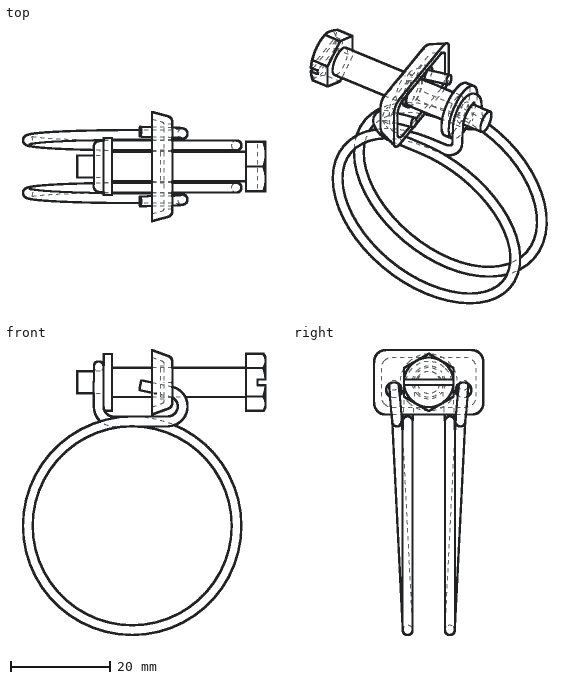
import cadquery as cq
import math


wire_diameter = 2.0
ring_radius = 21.0
inner_strand_y = 4.25
outer_strand_y = 6.35

bolt_axis_z = 28.85
bolt_tip_x = -11.05
bolt_end_x = 26.85
tip_diameter = 4.5
shaft_diameter = 5.95
collar_diameter = 11.45
collar_face_x = -5.75
collar_thickness = 1.7
head_across_flats = 10.0
head_length = 3.95
head_chamfer_angle = 30
slot_width = 1.1
slot_depth = 1.6

plate_x = 3.95
plate_depth = 4.15
plate_width = 22.0
plate_height = 13.0
plate_end_draft = 15
plate_side_draft = 20
plate_corner_radius = 2.5
plate_back_fillet = 1.25
plate_rim = 1.5
plate_floor = 1.65
pocket_corner_radius = 2.3
pocket_floor_fillet = 0.65
boss_diameter = 6.65
boss_height = 0.75
wire_hole_diameter = 3.1
wire_hole_y = 7.0
wire_hole_drop = 1.55

leg_bend_radius = 3.0
leg_tilt = 4
hook_start_x = 7.1
hook_bend_radius = 3.05
hook_tilt = 5
tail_rise = 12
tail_length = 6.25


def x_cylinder(diameter, start_x, end_x):
    """Cylinder on the bolt axis between two X positions."""
    return (
        cq.Workplane("YZ", origin=(start_x, 0, bolt_axis_z))
        .circle(diameter / 2)
        .extrude(end_x - start_x)
    )


def make_bolt_head():
    """Hexagon with a corner at the top, chamfered and slotted on its outer face."""
    head_x = bolt_end_x - head_length
    flat_radius = head_across_flats / 2
    corner_radius = flat_radius / math.cos(math.radians(30))
    chamfer_length = (corner_radius - flat_radius) * math.tan(math.radians(head_chamfer_angle))
    hexagon = (
        cq.Workplane("YZ", origin=(head_x, 0, bolt_axis_z))
        .transformed(rotate=(0, 0, 90))
        .polygon(6, 2 * corner_radius)
        .extrude(head_length)
    )
    turned_blank = (
        cq.Workplane("XZ", origin=(0, 0, bolt_axis_z))
        .moveTo(head_x, 0)
        .lineTo(head_x, corner_radius)
        .lineTo(bolt_end_x - chamfer_length, corner_radius)
        .lineTo(bolt_end_x, flat_radius)
        .lineTo(bolt_end_x, 0)
        .close()
        .revolve(360, (0, 0, 0), (1, 0, 0))
    )
    slot = cq.Workplane("XY").box(2 * slot_depth, 2 * corner_radius, slot_width)
    return hexagon.intersect(turned_blank).cut(slot.translate((bolt_end_x, 0, bolt_axis_z)))


def make_bolt():
    tip = x_cylinder(tip_diameter, bolt_tip_x, collar_face_x)
    collar = x_cylinder(collar_diameter, collar_face_x, collar_face_x + collar_thickness)
    shaft = x_cylinder(shaft_diameter, collar_face_x, bolt_end_x - head_length)
    return tip.union(collar).union(shaft).union(make_bolt_head())


def drafted_block(width, height, depth, corner_radius):
    """Block on the plate's open face that narrows towards +X, with its slanted edges rounded."""
    back_width = width - 2 * depth * math.tan(math.radians(plate_end_draft))
    back_height = height - 2 * depth * math.tan(math.radians(plate_side_draft))
    return (
        cq.Workplane("YZ", origin=(plate_x, 0, bolt_axis_z))
        .rect(width, height)
        .workplane(offset=depth)
        .rect(back_width, back_height)
        .loft(ruled=True)
        .edges("not(|Y or |Z)")
        .fillet(corner_radius)
    )


def make_plate():
    shell = drafted_block(plate_width, plate_height, plate_depth, plate_corner_radius)
    shell = shell.faces(">X").edges().fillet(plate_back_fillet)
    pocket_depth = plate_depth - plate_floor
    pocket = drafted_block(
        plate_width - 2 * plate_rim,
        plate_height - 2 * plate_rim,
        pocket_depth,
        pocket_corner_radius,
    )
    pocket = pocket.faces(">X").edges().fillet(pocket_floor_fillet)
    floor_x = plate_x + pocket_depth
    back_x = plate_x + plate_depth
    boss = x_cylinder(boss_diameter, floor_x - boss_height, back_x)
    bolt_hole = x_cylinder(shaft_diameter, plate_x, back_x)
    wire_holes = (
        cq.Workplane("YZ", origin=(plate_x, 0, bolt_axis_z - wire_hole_drop))
        .pushPoints([(-wire_hole_y, 0), (wire_hole_y, 0)])
        .circle(wire_hole_diameter / 2)
        .extrude(plate_depth)
    )
    return shell.cut(pocket).union(boss).cut(bolt_hole).cut(wire_holes)


def make_wire_path():
    """Centreline of the whole wire, from the tail on the +Y side to the tail on the -Y side."""
    tilt = math.radians(leg_tilt)
    loop_x = collar_face_x - wire_diameter / 2
    loop_top_z = bolt_axis_z + tip_diameter / 2 + wire_diameter / 2
    loop_radius = (
        inner_strand_y * math.cos(tilt) - (loop_top_z - ring_radius) * math.sin(tilt)
    ) / (1 - math.sin(tilt))
    loop_centre_z = loop_top_z - loop_radius

    def leg_point(x, height):
        """Point in the tilted plane of a leg, by height above the top of the ring."""
        return cq.Vector(
            x,
            inner_strand_y - height * math.sin(tilt),
            ring_radius + height * math.cos(tilt),
        )

    def hook_point(x, height):
        """Point in the tilted plane of the hook, by height above the top of the ring."""
        lean = math.radians(hook_tilt)
        return cq.Vector(
            x,
            outer_strand_y + height * math.sin(lean),
            ring_radius + height * math.cos(lean),
        )

    loop_top = cq.Vector(loop_x, 0, loop_top_z)
    loop_end = cq.Vector(
        loop_x,
        loop_radius * math.cos(tilt),
        loop_centre_z + loop_radius * math.sin(tilt),
    )

    bend_mid_offset = leg_bend_radius * (1 - math.cos(math.pi / 4))
    bend_start = leg_point(loop_x, leg_bend_radius)
    bend_middle = leg_point(loop_x + bend_mid_offset, bend_mid_offset)
    bend_end = leg_point(loop_x + leg_bend_radius, 0)

    ring_start = cq.Vector(0, inner_strand_y, ring_radius)
    ring_right = cq.Vector(ring_radius, inner_strand_y, 0)
    ring_bottom = cq.Vector(0, inner_strand_y, -ring_radius)
    ring_left = cq.Vector(-ring_radius, (inner_strand_y + outer_strand_y) / 2, 0)
    ring_end = cq.Vector(0, outer_strand_y, ring_radius)

    rise = math.radians(tail_rise)
    hook_start = hook_point(hook_start_x, 0)
    hook_middle = hook_point(hook_start_x + hook_bend_radius, hook_bend_radius)
    hook_end_x = hook_start_x + hook_bend_radius * math.sin(rise)
    hook_end_height = hook_bend_radius * (1 + math.cos(rise))
    hook_end = hook_point(hook_end_x, hook_end_height)
    tail_end = hook_point(
        hook_end_x - tail_length * math.cos(rise),
        hook_end_height + tail_length * math.sin(rise),
    )

    def mirrored(point):
        return cq.Vector(point.x, -point.y, point.z)

    side_runs = [
        (tail_end, hook_end),
        (hook_end, hook_middle, hook_start),
        (hook_start, ring_end),
        (ring_end, ring_left, ring_bottom),
        (ring_bottom, ring_right, ring_start),
        (ring_start, bend_end),
        (bend_end, bend_middle, bend_start),
        (bend_start, loop_end),
    ]
    loop_run = (loop_end, loop_top, mirrored(loop_end))
    far_side_runs = [
        tuple(mirrored(point) for point in reversed(run))
        for run in reversed(side_runs)
    ]
    edges = [
        cq.Edge.makeLine(*run) if len(run) == 2 else cq.Edge.makeThreePointArc(*run)
        for run in [*side_runs, loop_run, *far_side_runs]
    ]
    return cq.Wire.assembleEdges(edges)


def make_wire():
    path = make_wire_path()
    section_plane = cq.Plane(origin=path.startPoint(), normal=path.tangentAt(0))
    return (
        cq.Workplane(section_plane)
        .circle(wire_diameter / 2)
        .sweep(cq.Workplane(obj=path))
    )


bolt = make_bolt()
plate = make_plate()
wire = make_wire()

result = cq.Compound.makeCompound([
    bolt.solids().val(),
    plate.solids().val(),
    wire.solids().val(),
])